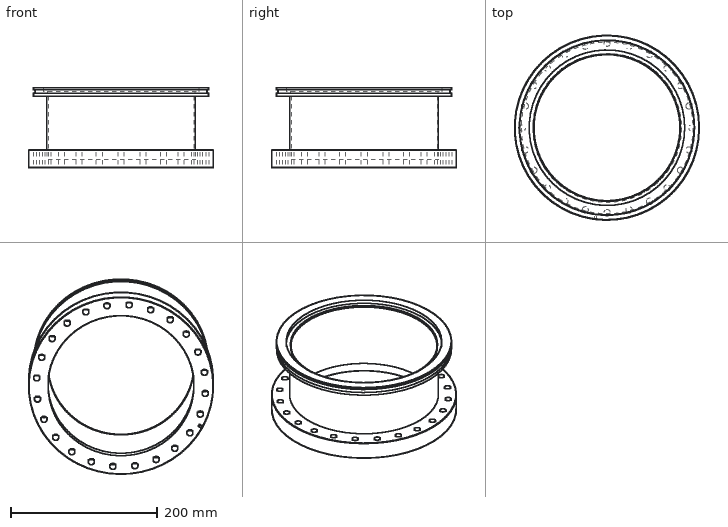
import cadquery as cq

total_height = 110.0

base_radius = 253.2 / 2
base_thickness = 24.5
base_chamfer = 0.6
bolt_count = 24
bolt_circle_radius = 231.8 / 2
bolt_hole_diameter = 8.4
leak_groove_width = 3.0
leak_groove_depth = 1.0
leak_groove_length = 6.0
bolt_pitch_angle = 360 / bolt_count
leak_groove_angle = -90 - bolt_pitch_angle / 2

tube_outer_radius = 102.0
tube_inner_radius = 100.0
tube_bottom = 12.0

clamp_radius = 240.0 / 2
clamp_thickness = 12.0
clamp_bottom = total_height - clamp_thickness
clamp_chamfer = 0.5
clamp_bore_radius = 100.8
recess_radius = 213.0 / 2
recess_depth = 5.0
recess_floor = total_height - recess_depth
tube_end_setback = 2.0
tube_top = recess_floor - tube_end_setback
rim_groove_radius = 2.4
rim_groove_drop = 5.3
rim_groove_height = total_height - rim_groove_drop


def make_base_flange():
    """Thick ring with a tube seat, a ring of bolt holes and a leak-check groove in its underside."""
    flange = cq.Workplane("XY").circle(base_radius).extrude(base_thickness)
    flange = flange.edges().chamfer(base_chamfer)
    flange = flange.cut(cq.Workplane("XY").circle(tube_inner_radius).extrude(base_thickness))
    tube_seat = (
        cq.Workplane("XY", origin=(0, 0, tube_bottom))
        .circle(tube_outer_radius)
        .extrude(base_thickness - tube_bottom)
    )
    bolt_holes = (
        cq.Workplane("XY")
        .polarArray(bolt_circle_radius, 0, 360, bolt_count)
        .circle(bolt_hole_diameter / 2)
        .extrude(base_thickness)
    )
    leak_groove = (
        cq.Workplane("XY")
        .center(base_radius - leak_groove_length / 2, 0)
        .rect(leak_groove_length, leak_groove_width)
        .extrude(leak_groove_depth)
        .rotate((0, 0, 0), (0, 0, 1), leak_groove_angle)
    )
    return flange.cut(tube_seat).cut(bolt_holes).cut(leak_groove)


def make_tube():
    """Plain tube running from the base seat into the clamp flange."""
    return (
        cq.Workplane("XY", origin=(0, 0, tube_bottom))
        .circle(tube_outer_radius)
        .circle(tube_inner_radius)
        .extrude(tube_top - tube_bottom)
    )


def make_clamp_flange():
    """Thin ring with a round groove in its rim and a stepped bore."""
    profile = (
        cq.Workplane("XZ")
        .moveTo(tube_outer_radius, clamp_bottom)
        .lineTo(clamp_radius, clamp_bottom)
        .lineTo(clamp_radius, rim_groove_height - rim_groove_radius)
        .threePointArc(
            (clamp_radius - rim_groove_radius, rim_groove_height),
            (clamp_radius, rim_groove_height + rim_groove_radius),
        )
        .lineTo(clamp_radius, total_height - clamp_chamfer)
        .lineTo(clamp_radius - clamp_chamfer, total_height)
        .lineTo(recess_radius, total_height)
        .lineTo(recess_radius, recess_floor)
        .lineTo(clamp_bore_radius, recess_floor)
        .lineTo(clamp_bore_radius, tube_top)
        .lineTo(tube_outer_radius, tube_top)
        .close()
    )
    return profile.revolve(360, (0, 0, 0), (0, 1, 0))


base_flange = make_base_flange()
tube = make_tube()
clamp_flange = make_clamp_flange()

result = cq.Compound.makeCompound([base_flange.val(), tube.val(), clamp_flange.val()])